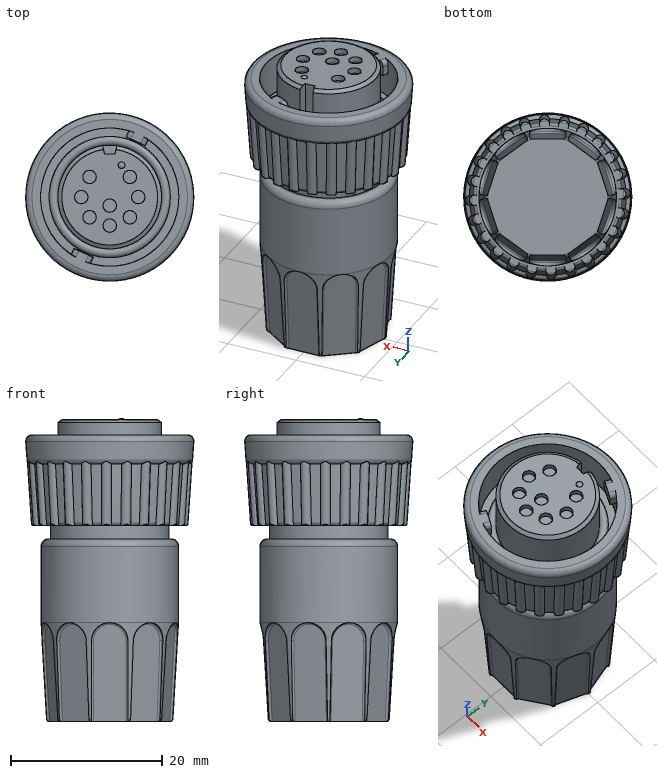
import cadquery as cq
import math

grip_top = 13.1
body_top = 24.15
ring_bottom = 25.9
ribs_top = 34.63
shelf_height = 32.3
ring_top = 37.85
plug_top = 39.85
total_height = 40.05

grip_bottom_radius = 8.33
grip_edge_round = 0.45
recess_count = 10
recess_half_width = 2.4
recess_floor_bottom = 7.65
recess_floor_corner = 0.25
recess_overrun = 2.4

body_radius = 9.1
body_round = 1.0
neck_radius = 7.85

ring_diameter = 22.2
ring_radius = ring_diameter / 2
ring_bottom_radius = 10.35
ring_top_round = 0.85
ring_bottom_round = 0.35
bore_radius = 9.13
rib_count = 24
rib_radius = 0.7
rib_inset = 0.05
rib_height = 0.6
first_rib_angle = -92.5

lug_angles = (65, 245)
lug_half_width = 1.4
lug_inner_radius = 8.13
lug_outer_radius = 9.6
lug_height = 2.0
lug_round = 0.7

plug_radius = 6.85
plug_chamfer_radial = 0.52
plug_chamfer_axial = 0.4
seal_outer_radius = 8.0
key_floor_radius = 5.7
key_floor_half_width = 0.7
key_mouth_half_width = 0.95

contact_radius = 0.9
contact_depth = 0.8
contact_circle_radius = 3.75
contact_angles = (0, 45, 135, 180, 225, 270, 315)
centre_contact = (0, -1.12)
marker_place = (1.55, 4.2)
marker_radius = 0.45

taper_top = ring_top - ring_top_round
taper_slope = (ring_radius - ring_bottom_radius) / (taper_top - ring_bottom)


def ring_radius_at(height):
    return ring_radius - taper_slope * (taper_top - height)


def cylinder(radius, bottom, top):
    return cq.Workplane("XY").workplane(offset=bottom).circle(radius).extrude(top - bottom)


def revolved(outline):
    return outline.close().revolve(360, (0, 0, 0), (0, 1, 0))


def recess_cutter():
    """Arched recess on the -Y side, its floor tilted parallel to the grip's cone."""
    tilt = math.atan2(body_radius - grip_bottom_radius, grip_top)
    arch_centre = grip_top / math.cos(tilt) - recess_half_width
    depth = body_radius - recess_floor_bottom
    cutter = (
        cq.Workplane("XZ")
        .moveTo(-recess_half_width, -recess_overrun)
        .lineTo(-recess_half_width, arch_centre)
        .threePointArc((0, arch_centre + recess_half_width), (recess_half_width, arch_centre))
        .lineTo(recess_half_width, -recess_overrun)
        .close()
        .extrude(depth)
        .faces(">Y")
        .edges()
        .fillet(recess_floor_corner)
    )
    return cutter.rotate((0, 0, 0), (1, 0, 0), math.degrees(tilt)).translate((0, -recess_floor_bottom, 0))


def make_grip():
    grip = revolved(
        cq.Workplane("XZ")
        .lineTo(grip_bottom_radius, 0)
        .lineTo(body_radius, grip_top)
        .lineTo(0, grip_top)
    )
    grip = grip.faces("<Z").edges().fillet(grip_edge_round)
    cutter = recess_cutter()
    angles = [index * 360 / recess_count for index in range(recess_count)]
    recesses = [cutter.rotate((0, 0, 0), (0, 0, 1), angle).val() for angle in angles]
    return cq.Workplane(grip.val().cut(*recesses))


def make_body():
    body = cylinder(body_radius, grip_top, body_top).faces(">Z").edges().fillet(body_round)
    return body.union(cylinder(neck_radius, body_top, shelf_height))


def ring_envelope():
    envelope = revolved(
        cq.Workplane("XZ", origin=(0, 0, ring_bottom))
        .lineTo(ring_bottom_radius, 0)
        .lineTo(ring_radius, taper_top - ring_bottom)
        .lineTo(ring_radius, ring_top - ring_bottom)
        .lineTo(0, ring_top - ring_bottom)
    )
    envelope = envelope.faces(">Z").edges().fillet(ring_top_round)
    return envelope.faces("<Z").edges().fillet(ring_bottom_round)


def groove_band():
    """Band between the rib tips and the rib roots, leaving a rounded edge under the smooth rim."""
    clearance = 0.8
    root_bottom = ring_bottom_radius - rib_height
    round_bottom = ribs_top - rib_height
    rim_radius = ring_radius_at(ribs_top)
    root_top = rim_radius - rib_height
    round_middle = rib_height * math.sqrt(0.5)
    return revolved(
        cq.Workplane("XZ")
        .moveTo(root_bottom, ring_bottom)
        .lineTo(root_top, round_bottom)
        .threePointArc((root_top + round_middle, ribs_top - round_middle), (rim_radius, ribs_top))
        .lineTo(rim_radius + clearance, ribs_top)
        .lineTo(rim_radius + clearance, ring_bottom)
    )


def make_ribs(envelope):
    """Round ribs leaning with the ring's taper, trimmed to its outer shape."""
    lean = math.degrees(math.atan(taper_slope))
    rib = (
        cylinder(rib_radius, -rib_radius, ribs_top - ring_bottom)
        .rotate((0, 0, 0), (0, 1, 0), lean)
        .translate((ring_bottom_radius - rib_radius - rib_inset, 0, ring_bottom))
        .intersect(envelope)
    )
    angles = [first_rib_angle + index * 360 / rib_count for index in range(rib_count)]
    return [rib.rotate((0, 0, 0), (0, 0, 1), angle).val() for angle in angles]


def make_lug(angle):
    length = lug_outer_radius - lug_inner_radius
    lug = (
        cq.Workplane("XY")
        .box(length, 2 * lug_half_width, lug_height, centered=(False, True, False))
        .translate((lug_inner_radius, 0, ring_top - lug_height))
        .faces(">Z")
        .edges("|X")
        .fillet(lug_round)
    )
    return lug.rotate((0, 0, 0), (0, 0, 1), angle)


def make_ring():
    envelope = ring_envelope()
    core = envelope.cut(groove_band()).faces("<Z").edges().fillet(ring_bottom_round)
    ring = cq.Workplane(core.val().fuse(*make_ribs(envelope)))
    ring = ring.cut(cylinder(bore_radius, shelf_height, ring_top))
    for angle in lug_angles:
        ring = ring.union(make_lug(angle))
    return ring


def make_seal():
    """Round seal lying half sunk in the shelf around the plug."""
    cord_radius = (seal_outer_radius - plug_radius) / 2
    seal = cq.Solid.makeTorus(plug_radius + cord_radius, cord_radius)
    return cq.Workplane(seal).translate((0, 0, shelf_height))


def make_plug():
    chamfer_base = plug_top - plug_chamfer_axial
    plug = revolved(
        cq.Workplane("XZ")
        .moveTo(0, shelf_height)
        .lineTo(plug_radius, shelf_height)
        .lineTo(plug_radius, chamfer_base)
        .lineTo(plug_radius - plug_chamfer_radial, plug_top)
        .lineTo(0, plug_top)
    )
    key_slot = (
        cq.Workplane("XY")
        .workplane(offset=shelf_height)
        .moveTo(-key_floor_half_width, key_floor_radius)
        .lineTo(key_floor_half_width, key_floor_radius)
        .lineTo(key_mouth_half_width, plug_radius)
        .lineTo(-key_mouth_half_width, plug_radius)
        .close()
        .extrude(plug_top - shelf_height)
    )
    contacts = [centre_contact]
    for angle in contact_angles:
        turn = math.radians(angle)
        contacts.append((contact_circle_radius * math.cos(turn), contact_circle_radius * math.sin(turn)))
    contact_holes = (
        cq.Workplane("XY")
        .workplane(offset=plug_top - contact_depth)
        .pushPoints(contacts)
        .circle(contact_radius)
        .extrude(contact_depth)
    )
    return plug.cut(key_slot).cut(contact_holes)


def make_marker():
    """Low spherical dome that marks the first contact."""
    dome_height = total_height - plug_top
    sphere_radius = (marker_radius**2 + dome_height**2) / (2 * dome_height)
    centre = (*marker_place, total_height - sphere_radius)
    return cq.Workplane("XY").sphere(sphere_radius).translate(centre)


result = make_grip().union(make_body()).union(make_ring()).union(make_seal())
result = result.union(make_plug()).union(make_marker())